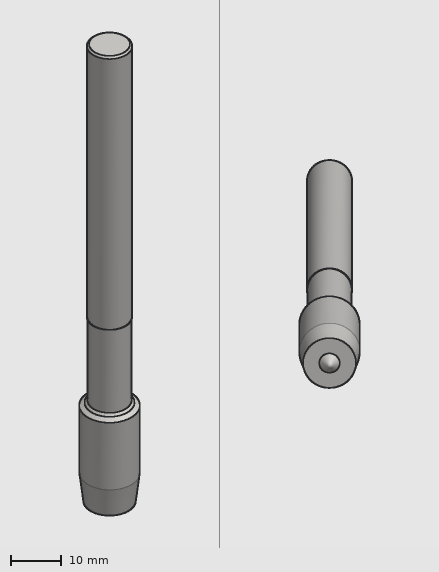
import cadquery as cq


total_length = 111.9
point_height = 2.0
lead_top = 8.8
head_shoulder = 25.0
head_top = 25.6
neck_top = 46.2

head_diameter = 12.0
lead_diameter = 10.4
head_top_diameter = 9.8
neck_diameter = 8.7
shank_diameter = 9.0

point_diameter = 2 * point_height
flare_height = (head_top_diameter - neck_diameter) / 2
end_chamfer = 0.5


def turned_body(outline):
    """Revolve a closed (radius, height) outline about the Z axis."""
    return cq.Workplane("XZ").polyline(outline).close().revolve(360, (0, 0, 0), (0, 1, 0))


def make_cutting_head():
    """Cutting head with a conical point, tapered lead and sloping shoulder."""
    return turned_body([
        (0, 0),
        (point_diameter / 2, point_height),
        (lead_diameter / 2, point_height),
        (head_diameter / 2, lead_top),
        (head_diameter / 2, head_shoulder),
        (head_top_diameter / 2, head_top),
        (0, head_top),
    ])


def make_shank():
    """Shank with a flared foot, a thinner neck and a chamfered upper end."""
    return turned_body([
        (0, head_top),
        (head_top_diameter / 2, head_top),
        (neck_diameter / 2, head_top + flare_height),
        (neck_diameter / 2, neck_top),
        (shank_diameter / 2, neck_top),
        (shank_diameter / 2, total_length - end_chamfer),
        (shank_diameter / 2 - end_chamfer, total_length),
        (0, total_length),
    ])


cutting_head = make_cutting_head()
shank = make_shank()

result = cq.Compound.makeCompound([cutting_head.val(), shank.val()])